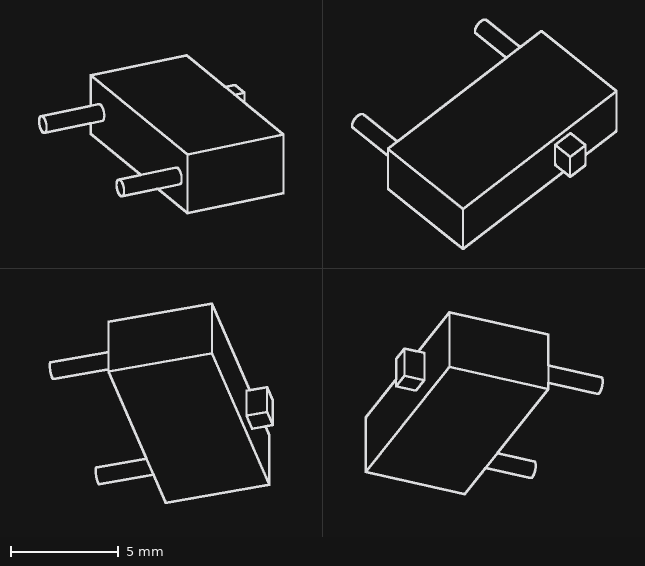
import cadquery as cq

body_length = 10.0
body_depth = 5.0
body_height = 3.0

pin_diameter = 0.8
pin_length = 3.0
pin_spacing = 8.0

actuator_width = 1.0
actuator_projection = 1.0
actuator_height = 1.5
actuator_left_offset = 3.0
actuator_top_offset = 0.5


def make_body():
    return cq.Workplane("XY").box(body_length, body_depth, body_height)


def make_pin(x):
    """Pin at the given X, pointing to -Y from the body face."""
    return (
        cq.Workplane("XZ", origin=(x, -body_depth / 2, 0))
        .circle(pin_diameter / 2)
        .extrude(pin_length)
    )


def make_actuator():
    center_x = -body_length / 2 + actuator_left_offset + actuator_width / 2
    center_y = body_depth / 2 + actuator_projection / 2
    center_z = body_height / 2 - actuator_top_offset - actuator_height / 2
    return (
        cq.Workplane("XY")
        .box(actuator_width, actuator_projection, actuator_height)
        .translate((center_x, center_y, center_z))
    )


result = make_body().union(make_actuator())
for pin_x in (-pin_spacing / 2, pin_spacing / 2):
    result = result.union(make_pin(pin_x))